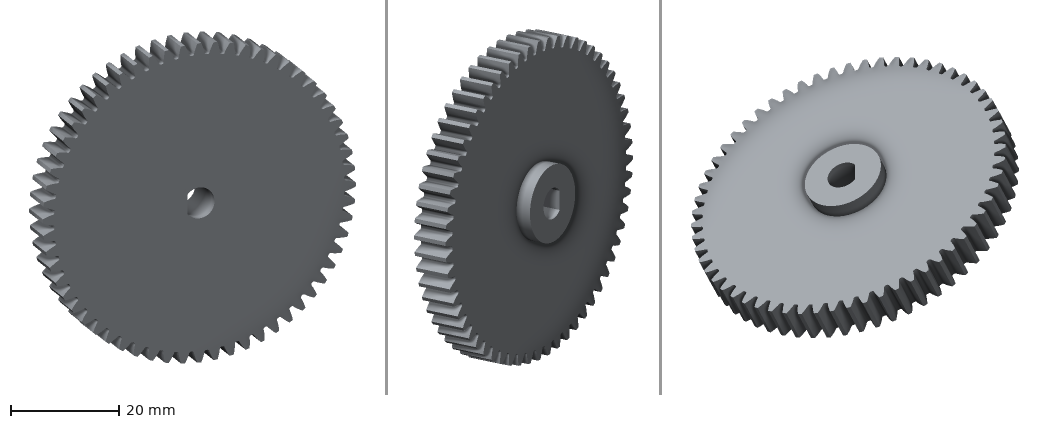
import cadquery as cq
import math

tooth_count = 60
outer_diameter = 62.0
pressure_angle = math.radians(20)
face_width = 7.0
hub_diameter = 15.0
hub_length = 3.0
bore_diameter = 6.0
flat_distance = 2.35
root_fillet = 0.4
form_radius = 29.5

addendum_factor = 1.0
dedendum_factor = 1.25
module = outer_diameter / (tooth_count + 2 * addendum_factor)
pitch_radius = module * tooth_count / 2
outer_radius = outer_diameter / 2
root_radius = pitch_radius - dedendum_factor * module
base_radius = pitch_radius * math.cos(pressure_angle)
tooth_pitch = 2 * math.pi / tooth_count
total_length = face_width + hub_length


def polar(radius, angle):
    return (radius * math.cos(angle), radius * math.sin(angle))


def tooth_half_angle(radius):
    """Half of the angle that an involute tooth covers at the given radius."""
    local_angle = math.acos(base_radius / radius)
    involute_here = math.tan(local_angle) - local_angle
    involute_at_pitch = math.tan(pressure_angle) - pressure_angle
    return tooth_pitch / 4 + involute_at_pitch - involute_here


def gear_outline():
    """Closed outline with a tooth centred on each half-axis of the YZ plane.

    Each flank is a straight foot followed by an arc through three points of the involute.
    """
    root_half = tooth_half_angle(root_radius)
    form_half = tooth_half_angle(form_radius)
    flank_radius = (form_radius + outer_radius) / 2
    flank_half = tooth_half_angle(flank_radius)
    tip_half = tooth_half_angle(outer_radius)

    outline = cq.Workplane("YZ").moveTo(*polar(root_radius, -root_half))
    for i in range(tooth_count):
        centre = i * tooth_pitch
        outline = outline.lineTo(*polar(form_radius, centre - form_half))
        outline = outline.threePointArc(
            polar(flank_radius, centre - flank_half), polar(outer_radius, centre - tip_half)
        )
        outline = outline.threePointArc(polar(outer_radius, centre), polar(outer_radius, centre + tip_half))
        outline = outline.threePointArc(
            polar(flank_radius, centre + flank_half), polar(form_radius, centre + form_half)
        )
        outline = outline.lineTo(*polar(root_radius, centre + root_half))
        next_root = polar(root_radius, centre + tooth_pitch - root_half)
        outline = outline.threePointArc(polar(root_radius, centre + tooth_pitch / 2), next_root)
    return outline.close()


def toothed_wheel():
    """Gear body with rounded corners at the bottom of the tooth gaps."""
    wheel = gear_outline().extrude(face_width)
    foot_middle_radius = (root_radius + form_radius) / 2
    root_edges = [
        edge
        for edge in wheel.edges("|X").vals()
        if math.hypot(edge.Center().y, edge.Center().z) < foot_middle_radius
    ]
    return wheel.newObject(root_edges).fillet(root_fillet)


def hub():
    return cq.Workplane("YZ").circle(hub_diameter / 2).extrude(-hub_length)


def d_bore():
    """Through bore whose -Y side is a flat."""
    bore_radius = bore_diameter / 2
    flat_half_height = math.sqrt(bore_radius**2 - flat_distance**2)
    return (
        cq.Workplane("YZ", origin=(-hub_length, 0, 0))
        .moveTo(-flat_distance, -flat_half_height)
        .threePointArc((bore_radius, 0), (-flat_distance, flat_half_height))
        .close()
        .extrude(total_length)
    )


result = toothed_wheel().union(hub()).cut(d_bore())